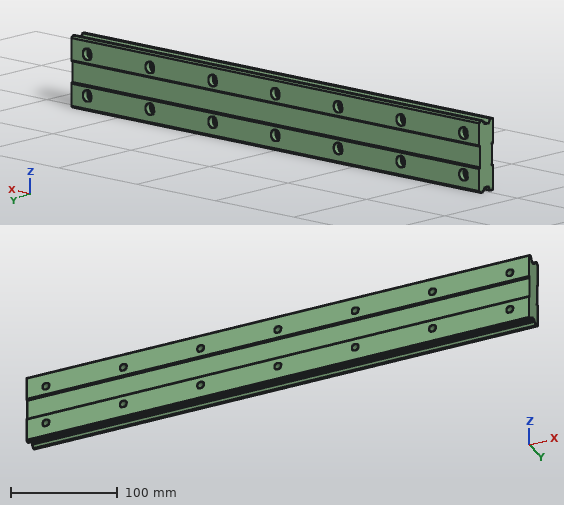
import cadquery as cq
import math

length = 520.0
thickness = 19.0
height = 69.0

ridge_slope = 40.5
ridge_outer = 7.5
ridge_inner = 5.0
ridge_foot = 2.35

groove_depth = 4.0
groove_wall_slope = 60
relief_slope = 63
lip_inner = -5.5
lip_chamfer = 1.0

recess_height = 22.5
recess_depth = 1.2

hole_radius = 3.5
counterbore_diameter = 11.0
counterbore_depth = 6.0
holes_per_row = 7
hole_pitch = length / (holes_per_row - 0.5)
row_spacing = hole_pitch / 2

half_thickness = thickness / 2
half_height = height / 2
ridge_gradient = math.tan(math.radians(ridge_slope))
groove_wall_gradient = math.tan(math.radians(groove_wall_slope))
relief_gradient = math.tan(math.radians(relief_slope))

shoulder = half_height - (half_thickness - ridge_outer) * ridge_gradient
foot_depth = (ridge_inner - ridge_foot) * ridge_gradient
groove_floor = half_height - groove_depth
floor_back = ridge_foot - (groove_depth - foot_depth) / relief_gradient
floor_front = lip_inner + groove_depth / groove_wall_gradient
recess_mouth = recess_height / 2
recess_floor = recess_mouth - recess_depth
recess_face = half_thickness - recess_depth


def rail_body():
    """Extrude the (Y, Z) section, whose lower half mirrors the upper half."""
    upper_half = [
        (recess_face, recess_floor),
        (half_thickness, recess_mouth),
        (half_thickness, shoulder),
        (ridge_outer, half_height),
        (ridge_inner, half_height),
        (ridge_foot, half_height - foot_depth),
        (floor_back, groove_floor),
        (floor_front, groove_floor),
        (lip_inner, half_height),
        (-half_thickness + lip_chamfer, half_height),
        (-half_thickness, half_height - lip_chamfer),
        (-half_thickness, recess_mouth),
        (-recess_face, recess_floor),
    ]
    lower_half = [(y, -z) for y, z in reversed(upper_half)]
    section = cq.Workplane("YZ").polyline(upper_half + lower_half).close()
    return section.extrude(length / 2, both=True)


def drill_holes(body):
    """Drill both rows of counterbored holes from the back face."""
    return (
        body.copyWorkplane(cq.Workplane("XZ", origin=(0, half_thickness, 0)))
        .transformed(rotate=(180, 0, 0))
        .rarray(hole_pitch, row_spacing, holes_per_row, 2)
        .cboreHole(2 * hole_radius, counterbore_diameter, counterbore_depth)
    )


result = drill_holes(rail_body())